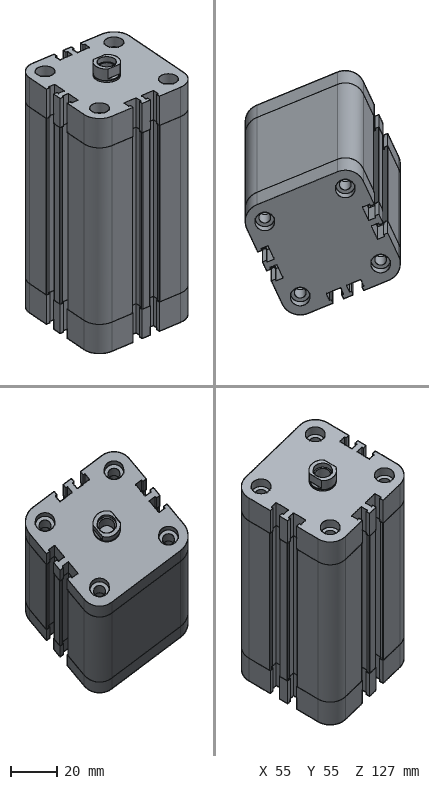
import cadquery as cq

side = 55.0
total_height = 127.0
rod_projection = 6.9
cap_height = 15.0
corner_radius = 8.5
housing_height = total_height - rod_projection
barrel_height = housing_height - 2 * cap_height

slot_pitch = 9.5
slot_depth = 5.2
cap_lip_thickness = 1.9
barrel_lip_thickness = 1.4
slot_inner_width = 6.7
slot_opening = 5.0
barrel_slot_chamfer = 0.4
slot_side_angles = (0, 90, -90)

screw_spacing = 38.0
screw_hole_diameter = 5.1
head_diameter = 8.5
head_depth = 5.0

rod_diameter = 12.0
flat_width = 10.0
flat_length = 5.0
flat_ledge_drop = 0.5
neck_diameter = 11.8
neck_projection = 0.9
rod_recess_diameter = 8.3
rod_recess_depth = 2.7
thread_diameter = 6.9
thread_depth = 12.7


def slot_cutter(height, lip_thickness, mouth_chamfer):
    """All T-slots, as one cutting shape rising from Z = 0."""
    face_y = -side / 2
    lip_y = face_y + lip_thickness
    floor_y = face_y + slot_depth
    half_opening = slot_opening / 2
    half_inner = slot_inner_width / 2
    half_mouth = half_opening + mouth_chamfer

    right_half = [(half_opening, face_y + mouth_chamfer), (half_opening, lip_y),
                  (half_inner, lip_y), (half_inner, floor_y)]
    if mouth_chamfer > 0:
        right_half.insert(0, (half_mouth, face_y))
    left_half = [(-x, y) for x, y in reversed(right_half)]
    slot = cq.Workplane("XY").polyline(right_half + left_half).close().extrude(height)

    cutter = cq.Workplane("XY")
    for angle in slot_side_angles:
        for slot_x in (-slot_pitch / 2, slot_pitch / 2):
            cutter = cutter.add(slot.translate((slot_x, 0, 0)).rotate((0, 0, 0), (0, 0, 1), angle))
    return cutter.combine()


def screw_hole_cutter(diameter, height):
    """Four cylinders on the screw pattern, rising from Z = 0."""
    return (
        cq.Workplane("XY")
        .rect(screw_spacing, screw_spacing, forConstruction=True)
        .vertices()
        .circle(diameter / 2)
        .extrude(height)
    )


def slotted_block(height, lip_thickness, mouth_chamfer=0):
    """Round-cornered square block with T-slots and four screw holes, standing on Z = 0."""
    block = cq.Workplane("XY").rect(side, side).extrude(height)
    block = block.edges("|Z").fillet(corner_radius)
    block = block.cut(slot_cutter(height, lip_thickness, mouth_chamfer))
    return block.cut(screw_hole_cutter(screw_hole_diameter, height))


def make_end_cap():
    """End cap with its outer face up and screw head recesses in that face."""
    head_recesses = screw_hole_cutter(head_diameter, head_depth).translate((0, 0, cap_height - head_depth))
    return slotted_block(cap_height, cap_lip_thickness).cut(head_recesses)


def cylinder(diameter, bottom_z, top_z):
    """Upright cylinder on the Z axis."""
    return cq.Workplane("XY", origin=(0, 0, bottom_z)).circle(diameter / 2).extrude(top_z - bottom_z)


def make_flat_cutter(top_z):
    """Wedge-footed block that cuts the +X wrench flat and its sloping ledge."""
    flat_x = flat_width / 2
    rim_x = rod_diameter / 2
    ledge_z = top_z - flat_length
    profile = [(flat_x, top_z), (flat_x, ledge_z), (rim_x, ledge_z - flat_ledge_drop), (rim_x, top_z)]
    return cq.Workplane("XZ").polyline(profile).close().extrude(rod_diameter / 2, both=True)


def make_rod():
    """Piston rod end with a neck, two wrench flats and a stepped blind hole, standing on Z = 0."""
    top_z = cap_height + rod_projection
    neck_top_z = cap_height + neck_projection
    rod = cylinder(neck_diameter, 0, neck_top_z).union(cylinder(rod_diameter, neck_top_z, top_z))
    flat_cutter = make_flat_cutter(top_z)
    rod = rod.cut(flat_cutter).cut(flat_cutter.mirror("YZ"))
    rod = rod.cut(cylinder(thread_diameter, top_z - thread_depth, top_z))
    return rod.cut(cylinder(rod_recess_diameter, top_z - rod_recess_depth, top_z))


upper_cap_z = cap_height + barrel_height
bottom_cap = make_end_cap().mirror("XY").translate((0, 0, cap_height))
barrel = slotted_block(barrel_height, barrel_lip_thickness, barrel_slot_chamfer)
barrel = barrel.translate((0, 0, cap_height))
rod_bore = cylinder(neck_diameter, 0, cap_height)
top_cap = make_end_cap().cut(rod_bore).translate((0, 0, upper_cap_z))
rod = make_rod().translate((0, 0, upper_cap_z))

result = cq.Compound.makeCompound([bottom_cap.val(), barrel.val(), top_cap.val(), rod.val()])